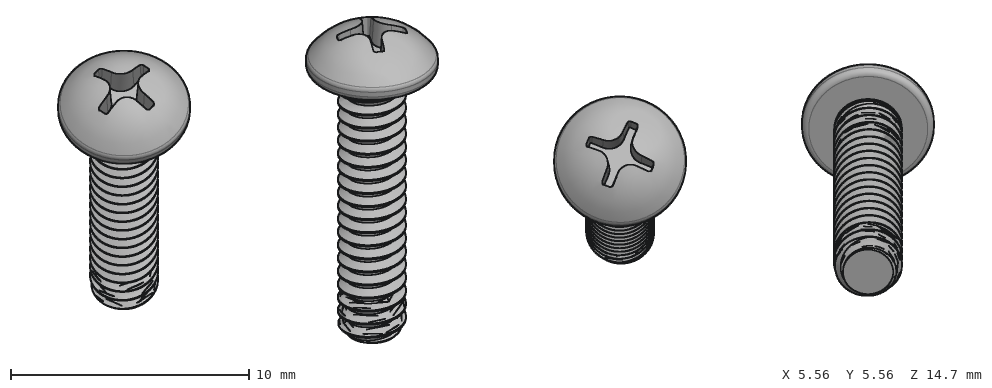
import cadquery as cq
import math


head_radius = 2.78
head_height = 2.022
dome_radius = 3.4
under_fillet = 0.28
rim_top = 0.5
dome_edge_height = 0.69

shank_length = 12.7
major_radius = 1.435
root_radius = 1.05
pitch = 0.635
crest_width = 0.07
flank_angle = math.radians(30)
thread_embed = 0.03
runout_length = 1.4
runout_top_radius = 1.42
runout_bottom_radius = 1.0
tip_radius = 1.06
tip_chamfer_height = 0.45
crest_height_at_x = -0.735
shank_overlap = 0.25
core_margin = 1.8
turns_below_crest = 20
thread_turns = 22

recess_arm_length = 1.5
recess_arm_half_width = 0.255
recess_arm_root = 0.88
recess_waist = 0.43
recess_floor = 0.8
recess_draft = 3.6
recess_end_rounding = 0.13


def make_head():
    """Revolved head: rounded lower edge, short rim and spherical dome."""
    dome_center = head_height - dome_radius
    dome_edge_radius = math.sqrt(dome_radius**2 - (dome_edge_height - dome_center)**2)
    half_angle = math.asin(dome_edge_radius / dome_radius) / 2
    dome_middle = (
        dome_radius * math.sin(half_angle),
        dome_center + dome_radius * math.cos(half_angle),
    )
    profile = (
        cq.Workplane("XZ")
        .lineTo(head_radius - under_fillet, 0)
        .radiusArc((head_radius, under_fillet), -under_fillet)
        .lineTo(head_radius, rim_top)
        .tangentArcPoint((dome_edge_radius, dome_edge_height), relative=False)
        .threePointArc(dome_middle, (0, head_height))
        .close()
    )
    return profile.revolve(360, (0, 0), (0, 1))


def make_recess():
    """Four-armed cutter, narrowing toward the recess floor."""

    def turned(x, y, quarter):
        for _ in range(quarter):
            x, y = -y, x
        return x, y

    end_straight = recess_arm_half_width - recess_end_rounding
    end_start = recess_arm_length - recess_end_rounding
    outline = cq.Workplane("XY").workplane(offset=head_height)
    outline = outline.moveTo(end_start, -recess_arm_half_width)
    for quarter in range(4):
        outline = (
            outline
            .radiusArc(turned(recess_arm_length, -end_straight, quarter), -recess_end_rounding)
            .lineTo(*turned(recess_arm_length, end_straight, quarter))
            .radiusArc(turned(end_start, recess_arm_half_width, quarter), -recess_end_rounding)
            .lineTo(*turned(recess_arm_root, recess_arm_half_width, quarter))
            .threePointArc(
                turned(recess_waist, recess_waist, quarter),
                turned(recess_arm_half_width, recess_arm_root, quarter),
            )
            .lineTo(*turned(recess_arm_half_width, end_start, quarter))
        )
    return outline.close().extrude(recess_floor - head_height, taper=recess_draft)


def make_ridge():
    """Right-hand helical ridge, longer than the shank at both ends."""
    start_height = crest_height_at_x - turns_below_crest * pitch
    base_radius = root_radius - thread_embed
    half_crest = crest_width / 2
    half_base = half_crest + (major_radius - base_radius) * math.tan(flank_angle)
    helix = cq.Wire.makeHelix(pitch, thread_turns * pitch, root_radius, cq.Vector(0, 0, start_height))
    return (
        cq.Workplane("XZ")
        .moveTo(base_radius, start_height - half_base)
        .lineTo(major_radius, start_height - half_crest)
        .lineTo(major_radius, start_height + half_crest)
        .lineTo(base_radius, start_height + half_base)
        .close()
        .sweep(cq.Workplane(obj=helix), isFrenet=True)
    )


def make_envelope():
    """Trims the thread to length and gives it the chamfered tip."""
    envelope_radius = major_radius + thread_embed
    return (
        cq.Workplane("XZ")
        .moveTo(0, -shank_length)
        .lineTo(tip_radius, -shank_length)
        .lineTo(envelope_radius, tip_chamfer_height - shank_length)
        .lineTo(envelope_radius, shank_overlap)
        .lineTo(0, shank_overlap)
        .close()
        .revolve(360, (0, 0), (0, 1))
    )


def make_runout():
    """Cone below the head that fades the thread groove out."""
    return (
        cq.Workplane("XZ")
        .moveTo(0, -runout_length)
        .lineTo(runout_bottom_radius, -runout_length)
        .lineTo(runout_top_radius, 0)
        .lineTo(runout_top_radius, shank_overlap)
        .lineTo(0, shank_overlap)
        .close()
        .revolve(360, (0, 0), (0, 1))
    )


def make_shank():
    """Threaded shank with its runout cone."""
    core_length = shank_length + 2 * core_margin
    core_bottom = cq.Workplane("XY").workplane(offset=-shank_length - core_margin)
    core = core_bottom.circle(root_radius).extrude(core_length)
    thread = core.union(make_ridge()).intersect(make_envelope())
    return thread.union(make_runout())


head = make_head().cut(make_recess())
result = head.union(make_shank())